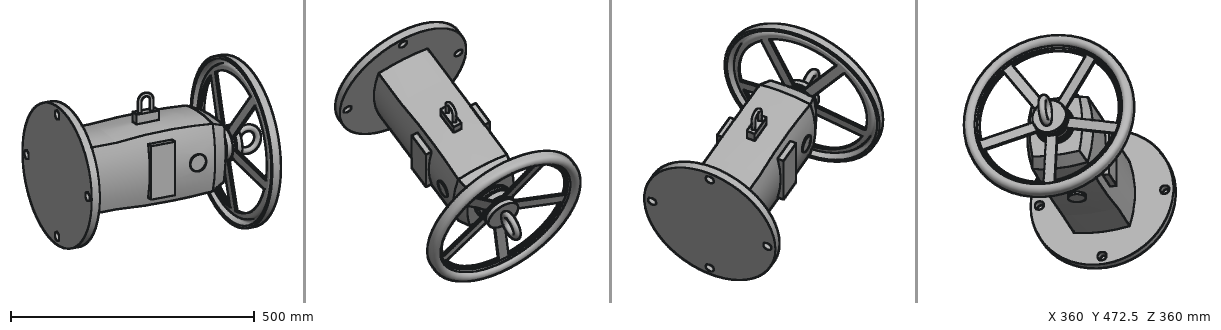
import cadquery as cq
import math


flange_diameter = 305.0
flange_thickness = 19.0
flange_hole_diameter = 19.0
flange_hole_count = 4
flange_hole_circle = 267.5

side_bow_radius = 245.3
crown_radius = 321.5
trim_margin = 4.5
barrel_half_width = 70.5
straight_half_height = 79.0
barrel_half_height = 84.0
shoulder_half_height = 80.0
knee_y = 106.5
barrel_y = 218.5
shoulder_y = 330.0
housing_end = 361.0
end_half_width = 56.0
end_half_height = 64.7
end_corner_x = 50.0
end_corner_z = 62.0

fitting_y = 205.5
side_plate_length = 55.8
side_plate_height = 117.5
side_plate_half_span = 77.0
lug_width = 18.5
lug_length = 52.0
lug_top = 104.5
shackle_rod_diameter = 8.0
shackle_width = 36.0
shackle_arch_z = 127.0
bottom_boss_diameter = 37.0
bottom_boss_reach = 90.0
side_boss_diameter = 37.0
side_boss_y = 289.5
side_boss_reach = 72.5

neck_steps = [(365.8, 38.5), (373.5, 40.0), (389.0, 35.0), (395.0, 36.5), (399.0, 35.0), (411.0, 36.0)]

wheel_radius = 180.0
rim_front = 404.5
rim_back = 429.0
rim_wall = 5.5
rim_bend_radius = 11.5
lip_radius = 156.5
lip_inner_radius = 149.0
spoke_count = 5
spoke_width = 23.0
dish_thickness = 5.0
dish_hub_radius = 33.0
dish_hub_front = 389.0
dish_slope = 0.16

overall_length = 472.5
ring_outer_radius = 32.0
ring_rod_diameter = 14.5


def cylinder_y(radius, start, end):
    """Round bar along the main axis."""
    bar = cq.Workplane("XZ", origin=(0, start, 0)).circle(radius)
    return bar.extrude(start - end)


def box_between(x0, x1, y0, y1, z0, z1):
    """Block between two opposite corners."""
    block = cq.Workplane("XY").box(x1 - x0, y1 - y0, z1 - z0, centered=False)
    return block.translate((x0, y0, z0))


def arc_rise(radius, half_chord):
    """Height of a shallow arc above its chord."""
    return radius - math.sqrt(radius**2 - half_chord**2)


def section_wire(y, half_width, half_height, corner_x, corner_z):
    """Closed housing section: four bowed sides meeting at four corners."""
    outline = (
        cq.Workplane("XZ", origin=(0, y, 0))
        .moveTo(corner_x, corner_z)
        .threePointArc((0, half_height), (-corner_x, corner_z))
        .threePointArc((-half_width, 0), (-corner_x, -corner_z))
        .threePointArc((0, -half_height), (corner_x, -corner_z))
        .threePointArc((half_width, 0), (corner_x, corner_z))
        .close()
    )
    return outline.val()


def crown_wire(y, half_height):
    """Section with crowned top and bottom and flat sides, wider than the housing."""
    edge_x = barrel_half_width + trim_margin
    edge_z = half_height - arc_rise(crown_radius, edge_x)
    outline = (
        cq.Workplane("XZ", origin=(0, y, 0))
        .moveTo(edge_x, edge_z)
        .threePointArc((0, half_height), (-edge_x, edge_z))
        .lineTo(-edge_x, -edge_z)
        .threePointArc((0, -half_height), (edge_x, -edge_z))
        .close()
    )
    return outline.val()


def loft_wires(wires, ruled):
    return cq.Workplane(cq.Solid.makeLoft(wires, ruled))


def shoulder_corner():
    """X and Z where the side bow, centred on the X axis, meets the crown, centred on the Z axis."""
    side_centre = barrel_half_width - side_bow_radius
    crown_centre = shoulder_half_height - crown_radius
    distance = math.hypot(side_centre, crown_centre)
    along = (side_bow_radius**2 - crown_radius**2 + distance**2) / (2 * distance)
    across = math.sqrt(side_bow_radius**2 - along**2)
    unit_x = -side_centre / distance
    unit_z = crown_centre / distance
    corner_x = side_centre + along * unit_x - across * unit_z
    corner_z = along * unit_z + across * unit_x
    return corner_x, corner_z


def make_flange():
    flange = cylinder_y(flange_diameter / 2, 0, flange_thickness)
    holes = (
        cq.Workplane("XZ")
        .polarArray(flange_hole_circle / 2, 0, 360, flange_hole_count)
        .circle(flange_hole_diameter / 2)
        .extrude(-flange_thickness)
    )
    return flange.cut(holes)


def make_housing():
    knee = crown_wire(knee_y, straight_half_height)
    straight = loft_wires([crown_wire(flange_thickness, straight_half_height), knee], True)
    barrel = loft_wires(
        [knee, crown_wire(barrel_y, barrel_half_height), crown_wire(shoulder_y, shoulder_half_height)],
        False,
    )
    edge_z = barrel_half_height + trim_margin
    edge_x = barrel_half_width - arc_rise(side_bow_radius, edge_z)
    side_walls = (
        cq.Workplane("XZ", origin=(0, flange_thickness, 0))
        .moveTo(edge_x, -edge_z)
        .threePointArc((barrel_half_width, 0), (edge_x, edge_z))
        .lineTo(-edge_x, edge_z)
        .threePointArc((-barrel_half_width, 0), (-edge_x, -edge_z))
        .close()
        .extrude(flange_thickness - shoulder_y)
    )
    body = straight.union(barrel).intersect(side_walls)
    taper = loft_wires(
        [
            section_wire(shoulder_y, barrel_half_width, shoulder_half_height, *shoulder_corner()),
            section_wire(housing_end, end_half_width, end_half_height, end_corner_x, end_corner_z),
        ],
        True,
    )
    return body.union(taper)


def make_side_plates():
    half_length = side_plate_length / 2
    return box_between(
        -side_plate_half_span, side_plate_half_span,
        fitting_y - half_length, fitting_y + half_length,
        -side_plate_height / 2, side_plate_height / 2,
    )


def make_lug():
    """Block on top of the housing that carries a U-shaped shackle."""
    block = box_between(
        -lug_width / 2, lug_width / 2,
        fitting_y - lug_length / 2, fitting_y + lug_length / 2,
        0, lug_top,
    )
    arch_radius = (shackle_width - shackle_rod_diameter) / 2
    foot_z = lug_top - shackle_rod_diameter
    path = (
        cq.Workplane("YZ")
        .moveTo(fitting_y - arch_radius, foot_z)
        .lineTo(fitting_y - arch_radius, shackle_arch_z)
        .threePointArc((fitting_y, shackle_arch_z + arch_radius), (fitting_y + arch_radius, shackle_arch_z))
        .lineTo(fitting_y + arch_radius, foot_z)
    )
    foot = (0, fitting_y - arch_radius, foot_z)
    shackle = cq.Workplane("XY", origin=foot).circle(shackle_rod_diameter / 2).sweep(path)
    return block.union(shackle)


def make_bosses():
    bottom = cq.Workplane("XY", origin=(0, fitting_y, 0)).circle(bottom_boss_diameter / 2)
    side = cq.Workplane("YZ", origin=(0, side_boss_y, 0)).circle(side_boss_diameter / 2)
    return bottom.extrude(-bottom_boss_reach).union(side.extrude(side_boss_reach))


def make_neck():
    start = housing_end
    neck = None
    for end, radius in neck_steps:
        step = cylinder_y(radius, start, end)
        neck = step if neck is None else neck.union(step)
        start = end
    return neck


def dish_front(radius):
    """Y of the conical front face of the spokes at a given radius."""
    return dish_hub_front + dish_slope * (radius - dish_hub_radius)


def make_spokes():
    """Conical dish cut down to straight spokes and a ring at the rim."""
    dish = (
        cq.Workplane("XY")
        .moveTo(dish_hub_radius, dish_front(dish_hub_radius))
        .lineTo(lip_radius, dish_front(lip_radius))
        .lineTo(lip_radius, dish_front(lip_radius) + dish_thickness)
        .lineTo(dish_hub_radius, dish_front(dish_hub_radius) + dish_thickness)
        .close()
        .revolve(360, (0, 0), (0, 1))
    )
    keep = cylinder_y(lip_radius, dish_hub_front, rim_back).cut(
        cylinder_y(lip_inner_radius, dish_hub_front, rim_back)
    )
    bar = box_between(-spoke_width / 2, spoke_width / 2, dish_hub_front, rim_back, -lip_radius, 0)
    for index in range(spoke_count):
        angle = index * 360 / spoke_count
        keep = keep.union(bar.rotate((0, 0, 0), (0, 1, 0), angle))
    return dish.intersect(keep)


def make_rim():
    """Rim of even wall: outer band, half-round bend at the back and a rounded lip at the spoke ring."""
    bend_r = wheel_radius - rim_bend_radius
    bend_y = rim_back - rim_bend_radius
    groove_radius = rim_bend_radius - rim_wall
    leg_outer = bend_r - groove_radius
    leg_inner = bend_r - rim_bend_radius
    lip_front = dish_front(lip_radius)
    lip_overlap_radius = lip_radius - rim_wall / 2
    lip_curve = leg_outer - lip_radius
    diagonal = math.sqrt(0.5)
    profile = (
        cq.Workplane("XY")
        .moveTo(wheel_radius, rim_front)
        .lineTo(wheel_radius, bend_y)
        .threePointArc((bend_r, rim_back), (leg_inner, bend_y))
        .lineTo(lip_overlap_radius, lip_front + dish_thickness)
        .lineTo(lip_overlap_radius, dish_front(lip_overlap_radius))
        .lineTo(lip_radius, lip_front)
        .threePointArc(
            (lip_radius + lip_curve * diagonal, lip_front + lip_curve * (1 - diagonal)),
            (leg_outer, lip_front + lip_curve),
        )
        .lineTo(leg_outer, bend_y)
        .threePointArc((bend_r, bend_y + groove_radius), (wheel_radius - rim_wall, bend_y))
        .lineTo(wheel_radius - rim_wall, rim_front)
        .close()
    )
    return profile.revolve(360, (0, 0), (0, 1))


def make_eye_ring():
    centre_y = overall_length - ring_outer_radius
    tube_radius = ring_rod_diameter / 2
    mean_radius = ring_outer_radius - tube_radius
    return cq.Workplane(
        cq.Solid.makeTorus(mean_radius, tube_radius, cq.Vector(0, centre_y, 0), cq.Vector(1, 0, 0))
    )


result = (
    make_flange()
    .union(make_housing())
    .union(make_side_plates())
    .union(make_lug())
    .union(make_bosses())
    .union(make_neck())
    .union(make_rim())
    .union(make_spokes())
    .union(make_eye_ring())
)